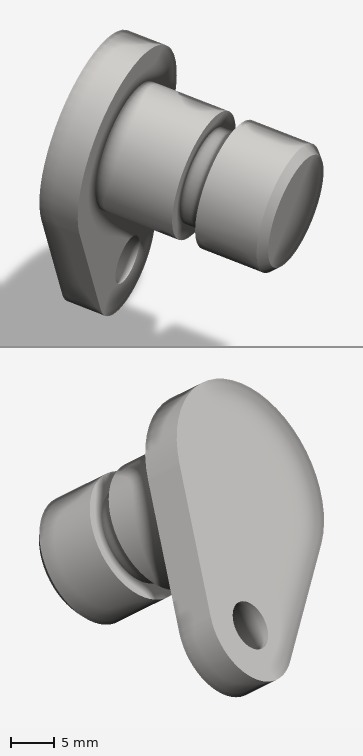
import cadquery as cq
import math

plate_thickness = 5.0
head_radius = 12.5
lug_radius = 7.0
lug_distance = 20.0
lug_hole_diameter = 6.0

pin_diameter = 16.0
pin_length = 22.0
tip_chamfer = 1.0

groove_diameter = 12.0
groove_width = 3.0
groove_offset = 10.0


def make_plate():
    """Teardrop plate: a large and a small arc joined by their common tangents."""
    tangent_sine = (head_radius - lug_radius) / lug_distance
    tangent_cosine = math.sqrt(1 - tangent_sine**2)
    head_y = head_radius * tangent_cosine
    head_z = -head_radius * tangent_sine
    lug_y = lug_radius * tangent_cosine
    lug_z = -lug_distance - lug_radius * tangent_sine

    return (
        cq.Workplane("YZ")
        .moveTo(head_y, head_z)
        .threePointArc((0, head_radius), (-head_y, head_z))
        .lineTo(-lug_y, lug_z)
        .threePointArc((0, -lug_distance - lug_radius), (lug_y, lug_z))
        .close()
        .extrude(plate_thickness)
    )


def make_pin():
    """Round pin standing on the inner plate face, with a chamfered tip."""
    return (
        cq.Workplane("YZ", origin=(plate_thickness, 0, 0))
        .circle(pin_diameter / 2)
        .extrude(pin_length)
        .faces(">X")
        .chamfer(tip_chamfer)
    )


def make_groove():
    """Ring to be removed from the pin to leave the retaining groove."""
    return (
        cq.Workplane("YZ", origin=(plate_thickness + groove_offset, 0, 0))
        .circle(pin_diameter / 2)
        .circle(groove_diameter / 2)
        .extrude(groove_width)
    )


def make_lug_hole():
    """Through hole concentric with the small end of the plate."""
    return (
        cq.Workplane("YZ", origin=(0, 0, -lug_distance))
        .circle(lug_hole_diameter / 2)
        .extrude(plate_thickness)
    )


result = make_plate().union(make_pin()).cut(make_groove()).cut(make_lug_hole())